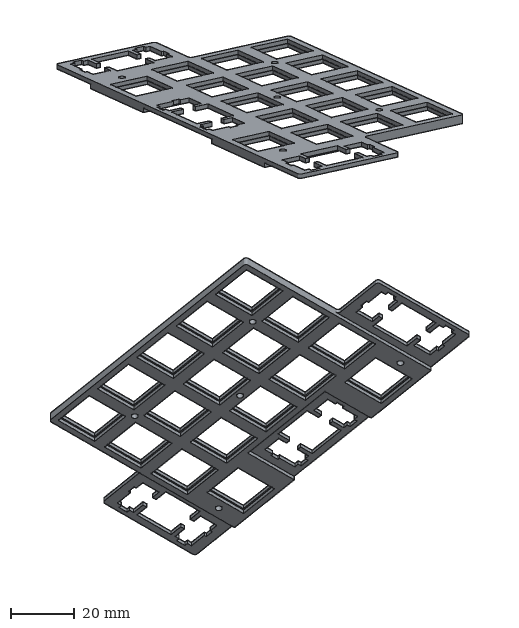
import cadquery as cq

LENGTH = 133.4
KEY_PITCH = LENGTH / 7
THICKNESS = 3.0
LIP_THICKNESS = 1.5
CORNER_RADIUS = 1.0

BLOCK_WIDTH = 5 * KEY_PITCH
HALF_DEPTH = 2 * KEY_PITCH

SWITCH_SIZE = 14.0
CLIP_POCKET_SIZE = 15.0
HOLE_DIAMETER = 2.1
SIDE_HOLE_X = 44.0

RELIEF_WIDTH = 37.3

STAB_OFFSET = 11.9
STAB_WIDTH = 6.7
STAB_TOP = 5.5
STAB_BOTTOM = -6.8
STAB_TAB_WIDTH = 3.3
STAB_TAB_BOTTOM = -8.0
STAB_NOTCH_DEPTH = 0.8
STAB_NOTCH_BOTTOM = -0.5
BRIDGE_HALF_HEIGHT = 2.3


def cutter(x_min, x_max, y_min, y_max):
    """Box that cuts a rectangle through the whole thickness."""
    return cq.Workplane("XY").box(
        x_max - x_min, y_max - y_min, THICKNESS, centered=False
    ).translate((x_min, y_min, 0))


def plate_layer(width, y_min, y_max, z_min):
    """Slab centred on X that reaches up to the top face."""
    depth = y_max - y_min
    slab = cq.Workplane("XY").box(width, depth, THICKNESS - z_min, centered=(True, False, False))
    return slab.translate((0, y_min, z_min))


def stabilized_key():
    """Switch opening joined to a stabilizer slot on each side."""
    half_switch = SWITCH_SIZE / 2
    half_slot = STAB_WIDTH / 2
    half_tab = STAB_TAB_WIDTH / 2
    opening = cutter(-half_switch, half_switch, -half_switch, half_switch)
    opening = opening.union(
        cutter(-STAB_OFFSET, STAB_OFFSET, -BRIDGE_HALF_HEIGHT, BRIDGE_HALF_HEIGHT)
    )
    notch_reach = STAB_OFFSET + half_slot + STAB_NOTCH_DEPTH
    opening = opening.union(cutter(-notch_reach, notch_reach, STAB_NOTCH_BOTTOM, BRIDGE_HALF_HEIGHT))
    for x in (-STAB_OFFSET, STAB_OFFSET):
        opening = opening.union(cutter(x - half_slot, x + half_slot, STAB_BOTTOM, STAB_TOP))
        opening = opening.union(cutter(x - half_tab, x + half_tab, STAB_TAB_BOTTOM, STAB_TOP))
    return opening


lip_bottom = THICKNESS - LIP_THICKNESS
block = plate_layer(BLOCK_WIDTH, -HALF_DEPTH, HALF_DEPTH, 0)
wings = plate_layer(LENGTH, -HALF_DEPTH, 0, lip_bottom)
rounded_block = block.edges("|Z and >Y").fillet(CORNER_RADIUS)
plate = rounded_block.union(wings)
plate = plate.edges("|Z").edges("<X or >X").fillet(CORNER_RADIUS)
inner_corners = cq.selectors.BoxSelector(
    (-BLOCK_WIDTH, -CORNER_RADIUS, lip_bottom), (BLOCK_WIDTH, CORNER_RADIUS, THICKNESS)
)
plate = plate.edges("|Z").edges(inner_corners).fillet(CORNER_RADIUS)

relief = cq.Workplane("XY").box(
    RELIEF_WIDTH, KEY_PITCH, lip_bottom, centered=(True, False, False)
).translate((0, -HALF_DEPTH, 0))
plate = plate.cut(relief)

switch_centers = [
    (column * KEY_PITCH, row * KEY_PITCH)
    for row in (1.5, 0.5, -0.5)
    for column in (-2, -1, 0, 1, 2)
]
switch_centers += [(column * KEY_PITCH, -1.5 * KEY_PITCH) for column in (-1.75, 1.75)]
switch_layout = cq.Workplane("XY").pushPoints(switch_centers)
plate = plate.cut(switch_layout.rect(SWITCH_SIZE, SWITCH_SIZE).extrude(THICKNESS))
plate = plate.cut(switch_layout.rect(CLIP_POCKET_SIZE, CLIP_POCKET_SIZE).extrude(lip_bottom))

for column, row, turn in ((0, -1.5, 0), (-3, -1, -90), (3, -1, 90)):
    key = stabilized_key().rotate((0, 0, 0), (0, 0, 1), turn)
    plate = plate.cut(key.translate((column * KEY_PITCH, row * KEY_PITCH, 0)))

hole_centers = [
    (0, 0),
    (-1.5 * KEY_PITCH, KEY_PITCH),
    (1.5 * KEY_PITCH, KEY_PITCH),
    (-SIDE_HOLE_X, -1.5 * KEY_PITCH),
    (SIDE_HOLE_X, -1.5 * KEY_PITCH),
]
holes = cq.Workplane("XY").pushPoints(hole_centers).circle(HOLE_DIAMETER / 2).extrude(THICKNESS)
result = plate.cut(holes)